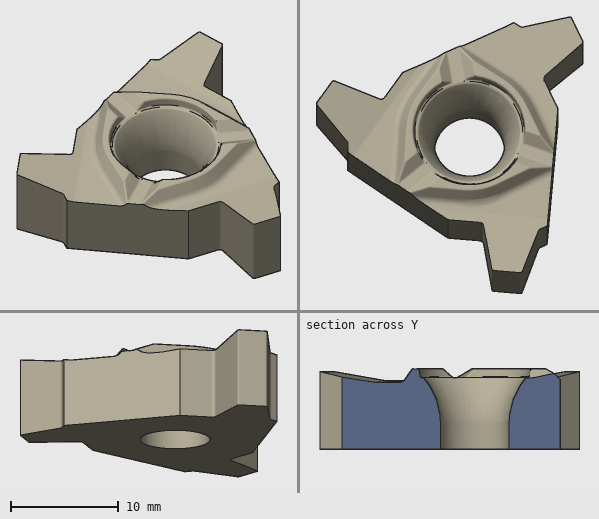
import cadquery as cq
import math

EDGES = 3
EDGE_PITCH = 360 / EDGES
TOTAL_HEIGHT = 7.5
FLOOR_Z = 6.24

SIDE_DISTANCE = 7.95
SHOULDER_Y = 8.45
SIDE_CORNER_Y = 8.25
SIDE_CORNER_SLOPE = 30
TOOTH_TIP_Y = 13.18
TOOTH_CENTRE_X = -4.635
TOOTH_TIP_WIDTH = 2.75
FLANK_ANGLE = 15
TIP_RADIUS = 0.2
ROOT_RADIUS = 0.4

RAMP_START_Y = 7.56
RAMP_ANGLE = 10
RAMP_BLEND_RADIUS = 0.9
RAMP_LEFT_X = -9.0
RAMP_RIGHT_X = 4.0

HUB_DISTANCE = 6.68
HUB_ARC_START = 90
HUB_ARC_SPAN = 31.5
HUB_DRAFT = 35
HUB_BASE_RADIUS = 0.75
HUB_EDGE_RADIUS = 0.2

SLOT_DIRECTION = 45
SLOT_FLOOR_Z = 6.66
SLOT_FLOOR_WIDTH = 1.15
SLOT_FLARE = 50
SLOT_OFFSET = 0.13
SLOT_FLOOR_RADIUS = 0.3

BORE_RADIUS = 6.5 / 2
SEAT_BOTTOM_Z = 2.55
SEAT_ARC_RADIUS = 6.3
SEAT_EDGE_RADIUS = 0.25
LEDGE_Z = SLOT_FLOOR_Z
LEDGE_RADIUS = 5.06
LEDGE_FOOT_RADIUS = 0.15
RECESS_DRAFT = 10

OVERSHOOT = 1.0
BLANK_RADIUS = 15.0


def polar(radius, degrees):
    angle = math.radians(degrees)
    return (radius * math.cos(angle), radius * math.sin(angle))


def rotate_point(point, degrees):
    angle = math.radians(degrees)
    x, y = point
    return (x * math.cos(angle) - y * math.sin(angle), x * math.sin(angle) + y * math.cos(angle))


def repeat_around(solid):
    """Union of the solid with its copies at every cutting edge."""
    copies = solid
    for index in range(1, EDGES):
        copies = copies.union(solid.rotate((0, 0, 0), (0, 0, 1), index * EDGE_PITCH))
    return copies


def tooth_points():
    """Corners of one tooth and its shoulders: side corner, root, tip, tip, root."""
    flank = math.tan(math.radians(FLANK_ANGLE))
    rise = math.tan(math.radians(SIDE_CORNER_SLOPE))
    tip_left = TOOTH_CENTRE_X - TOOTH_TIP_WIDTH / 2
    tip_right = TOOTH_CENTRE_X + TOOTH_TIP_WIDTH / 2
    root_right = tip_right + (TOOTH_TIP_Y - SHOULDER_Y) * flank
    flank_x_at_corner = tip_left - (TOOTH_TIP_Y - SIDE_CORNER_Y) * flank
    root_run = (flank_x_at_corner + SIDE_DISTANCE) / (1 - rise * flank)
    root_left = (-SIDE_DISTANCE + root_run, SIDE_CORNER_Y + root_run * rise)
    return [
        (-SIDE_DISTANCE, SIDE_CORNER_Y),
        root_left,
        (tip_left, TOOTH_TIP_Y),
        (tip_right, TOOTH_TIP_Y),
        (root_right, SHOULDER_Y),
    ]


def make_prism():
    """Full-height prism of the insert outline with rounded tips and roots."""
    corner, root_left, tip_left, tip_right, root_right = tooth_points()
    normal_x, normal_y = polar(1, 180 - EDGE_PITCH)
    shoulder_end = ((SIDE_DISTANCE - SHOULDER_Y * normal_y) / normal_x, SHOULDER_Y)

    outline = []
    for index in range(EDGES):
        for point in [corner, root_left, tip_left, tip_right, root_right, shoulder_end]:
            outline.append(rotate_point(point, -index * EDGE_PITCH))
    prism = cq.Workplane("XY").polyline(outline).close().extrude(TOTAL_HEIGHT)

    def upright_edges(points):
        selected = []
        for index in range(EDGES):
            for point in points:
                x, y = rotate_point(point, -index * EDGE_PITCH)
                near = cq.selectors.NearestToPointSelector((x, y, TOTAL_HEIGHT / 2))
                selected += prism.edges("|Z").edges(near).vals()
        return prism.newObject(selected)

    prism = upright_edges([tip_left, tip_right]).fillet(TIP_RADIUS)
    return upright_edges([root_left, root_right]).fillet(ROOT_RADIUS)


def make_ramps():
    """Wedges that lift the top face to each tooth tip, blended into the floor."""
    slope = math.radians(RAMP_ANGLE)
    blend = RAMP_BLEND_RADIUS * math.tan(slope / 2)
    end_y = TOOTH_TIP_Y + OVERSHOOT
    end_z = FLOOR_Z + (end_y - RAMP_START_Y) * math.tan(slope)
    blend_start = (RAMP_START_Y - blend, FLOOR_Z)
    blend_middle = (
        blend_start[0] + RAMP_BLEND_RADIUS * math.sin(slope / 2),
        FLOOR_Z + RAMP_BLEND_RADIUS * (1 - math.cos(slope / 2)),
    )
    blend_end = (RAMP_START_Y + blend * math.cos(slope), FLOOR_Z + blend * math.sin(slope))
    ramp = (
        cq.Workplane("YZ", origin=(RAMP_LEFT_X, 0, 0))
        .moveTo(*blend_start)
        .threePointArc(blend_middle, blend_end)
        .lineTo(end_y, end_z)
        .lineTo(end_y, 0)
        .lineTo(blend_start[0], 0)
        .close()
        .extrude(RAMP_RIGHT_X - RAMP_LEFT_X)
    )
    return repeat_around(ramp)


def make_hub():
    """Tapered hub on a round blank, with its foot blended into the floor."""
    outline = cq.Workplane("XY", origin=(0, 0, FLOOR_Z)).moveTo(*polar(HUB_DISTANCE, HUB_ARC_START))
    corner_half_angle = (EDGE_PITCH - HUB_ARC_SPAN) / 2
    corner_radius = HUB_DISTANCE / math.cos(math.radians(corner_half_angle))
    for index in range(EDGES):
        start = HUB_ARC_START + index * EDGE_PITCH
        end = start + HUB_ARC_SPAN
        outline = outline.threePointArc(
            polar(HUB_DISTANCE, start + HUB_ARC_SPAN / 2), polar(HUB_DISTANCE, end)
        )
        outline = outline.lineTo(*polar(corner_radius, end + corner_half_angle))
        outline = outline.lineTo(*polar(HUB_DISTANCE, start + EDGE_PITCH))
    hub = outline.close().extrude(TOTAL_HEIGHT - FLOOR_Z, taper=HUB_DRAFT)

    blank = cq.Workplane("XY").circle(BLANK_RADIUS).extrude(FLOOR_Z)
    body = blank.union(hub)
    reach = BLANK_RADIUS - OVERSHOOT
    foot = cq.selectors.BoxSelector(
        (-reach, -reach, FLOOR_Z - HUB_EDGE_RADIUS), (reach, reach, FLOOR_Z + HUB_EDGE_RADIUS)
    )
    foot_edges = [edge for edge in body.edges(foot).vals() if edge.BoundingBox().xlen < BLANK_RADIUS]
    return body.newObject(foot_edges).fillet(HUB_BASE_RADIUS)


def make_slots():
    """Flared radial channels across the three hub corners."""
    half_floor = SLOT_FLOOR_WIDTH / 2
    height = TOTAL_HEIGHT + OVERSHOOT - SLOT_FLOOR_Z
    half_top = half_floor + height * math.tan(math.radians(SLOT_FLARE))
    slot = (
        cq.Workplane("YZ")
        .moveTo(SLOT_OFFSET - half_top, SLOT_FLOOR_Z + height)
        .lineTo(SLOT_OFFSET - half_floor, SLOT_FLOOR_Z)
        .lineTo(SLOT_OFFSET + half_floor, SLOT_FLOOR_Z)
        .lineTo(SLOT_OFFSET + half_top, SLOT_FLOOR_Z + height)
        .close()
        .extrude(BLANK_RADIUS)
        .edges("|X and <Z")
        .fillet(SLOT_FLOOR_RADIUS)
        .rotate((0, 0, 0), (0, 0, 1), SLOT_DIRECTION)
    )
    return repeat_around(slot)


def round_circle(turned, circle_radius, fillet_radius):
    """Fillet the circular edge of this radius on a turned solid."""
    circles = turned.edges("%CIRCLE").vals()
    edge = min(circles, key=lambda circle: abs(circle.radius() - circle_radius))
    return turned.newObject([edge]).fillet(fillet_radius)


def make_bore():
    """Cylinder, flared screw seat and drafted recess as one turned cutter."""
    top_z = TOTAL_HEIGHT + OVERSHOOT
    recess_top = LEDGE_RADIUS + (top_z - LEDGE_Z) * math.tan(math.radians(RECESS_DRAFT))
    full_angle = math.asin((LEDGE_Z - SEAT_BOTTOM_Z) / SEAT_ARC_RADIUS)

    def seat_point(angle):
        radius = BORE_RADIUS + SEAT_ARC_RADIUS * (1 - math.cos(angle))
        return (radius, SEAT_BOTTOM_Z + SEAT_ARC_RADIUS * math.sin(angle))

    cutter = (
        cq.Workplane("XZ")
        .moveTo(0, -OVERSHOOT)
        .lineTo(BORE_RADIUS, -OVERSHOOT)
        .lineTo(BORE_RADIUS, SEAT_BOTTOM_Z)
        .threePointArc(seat_point(full_angle / 2), seat_point(full_angle))
        .lineTo(LEDGE_RADIUS, LEDGE_Z)
        .lineTo(recess_top, top_z)
        .lineTo(0, top_z)
        .close()
        .revolve(360, (0, 0, 0), (0, 1, 0))
    )
    seat_edge_radius, _ = seat_point(full_angle)
    cutter = round_circle(cutter, seat_edge_radius, SEAT_EDGE_RADIUS)
    return round_circle(cutter, LEDGE_RADIUS, LEDGE_FOOT_RADIUS)


def find_slot_rims(body):
    """Edges that climb to the hub top where the slot walls meet the hub and recess walls."""
    half_rim = SLOT_FLOOR_WIDTH / 2 + (TOTAL_HEIGHT - SLOT_FLOOR_Z) * math.tan(math.radians(SLOT_FLARE))
    rims = []
    for edge in body.edges().vals():
        box = edge.BoundingBox()
        if box.zmax < TOTAL_HEIGHT - HUB_EDGE_RADIUS or box.zlen < HUB_EDGE_RADIUS:
            continue
        centre = edge.Center()
        for index in range(EDGES):
            along, across = rotate_point((centre.x, centre.y), -SLOT_DIRECTION - index * EDGE_PITCH)
            if along > 0 and abs(across) < half_rim + SLOT_OFFSET:
                rims.append(edge)
    return rims


body = make_hub().cut(make_slots()).cut(make_bore())
sharp_edges = body.faces(">Z").edges().vals() + find_slot_rims(body)
body = body.newObject(sharp_edges).fillet(HUB_EDGE_RADIUS)
result = body.union(make_ramps()).intersect(make_prism())